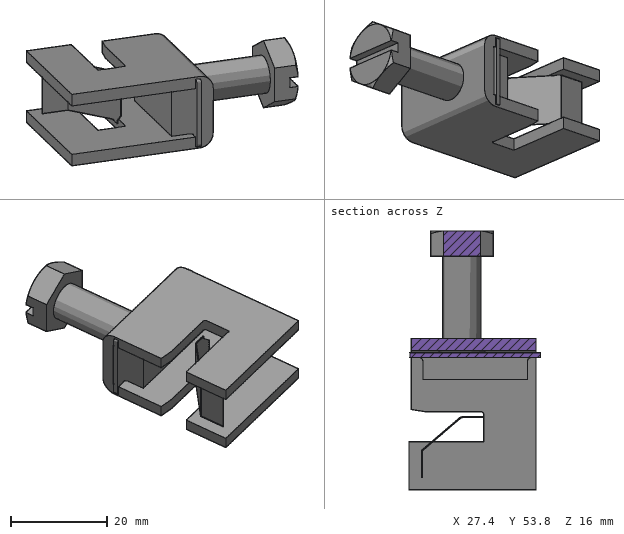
import cadquery as cq
import math

TOTAL_LENGTH = 53.8

BRACKET_HEIGHT = 16.0
SHEET = 2.6
BRACKET_TOP = 31.45
BRACKET_LEFT = -10.55
BRACKET_RIGHT = 15.45
JAW_LEFT = -11.05
BEND_RADIUS = 3.0
INNER_HEIGHT = BRACKET_HEIGHT - 2 * SHEET
INNER_TOP = BRACKET_TOP - SHEET

MOUTH_BOTTOM = 10.0
MOUTH_TOP = 16.2
MOUTH_END = 4.5
MOUTH_RADIUS = 0.55
LEAD_IN_LENGTH = 3.05
LEAD_IN_RISE = 0.5

SHANK_DIAMETER = 8.0
COLLAR_DIAMETER = 9.5
HEAD_FLATS = 13.0
HEAD_CORNERS = HEAD_FLATS / math.cos(math.radians(30))
HEAD_HEIGHT = 5.25
HEAD_BASE = TOTAL_LENGTH - HEAD_HEIGHT
HEAD_CHAMFER_ANGLE = 30.0
SLOT_WIDTH = 2.15
SLOT_DEPTH = 1.9

PLATE_TOP = 28.5
PLATE_THICKNESS = 1.0
PLATE_BOTTOM = PLATE_TOP - PLATE_THICKNESS
PLATE_LEFT = -10.85
PLATE_RIGHT = 16.35
FLANGE_HEIGHT = 14.95
FLANGE_RADIUS = 0.65
PAD_INSET = 2.75
PAD_LEFT = PLATE_LEFT + PAD_INSET
PAD_RIGHT = PLATE_RIGHT - PAD_INSET
PAD_HEIGHT = 10.55
PAD_BOTTOM = 22.9
PAD_FILLET = 0.8

SPRING_SHEET = 0.2
SPRING_LEFT = -8.4
SPRING_BOTTOM = 2.55
SPRING_LOWER_BEND = 8.25
SPRING_UPPER_BEND = -0.2
SPRING_TOP = 15.2
SPRING_BEND_RADIUS = 1.4
TONGUE_START = 2.6
TONGUE_END = 4.55
TONGUE_ROOT_WIDTH = 9.45
TONGUE_TIP_WIDTH = 5.7


def block(x0, x1, y0, y1, height):
    """Box between the given X and Y limits, centred on Z = 0."""
    return cq.Workplane("XY").box(x1 - x0, y1 - y0, height).translate(((x0 + x1) / 2, (y0 + y1) / 2, 0))


def cylinder(diameter, y0, y1):
    """Cylinder along the screw axis."""
    return cq.Workplane("XZ", origin=(0, y0, 0)).circle(diameter / 2).extrude(y0 - y1)


def make_bracket():
    body = block(JAW_LEFT, BRACKET_RIGHT, 0, BRACKET_TOP, BRACKET_HEIGHT)
    body = body.edges("|X and >Y").fillet(BEND_RADIUS)
    body = body.cut(block(JAW_LEFT, BRACKET_RIGHT, 0, INNER_TOP, INNER_HEIGHT))
    mouth = (
        cq.Workplane("XY", origin=(0, 0, -BRACKET_HEIGHT / 2))
        .moveTo(JAW_LEFT, MOUTH_BOTTOM)
        .lineTo(MOUTH_END, MOUTH_BOTTOM)
        .lineTo(MOUTH_END, MOUTH_TOP - MOUTH_RADIUS)
        .radiusArc((MOUTH_END - MOUTH_RADIUS, MOUTH_TOP), -MOUTH_RADIUS)
        .lineTo(BRACKET_LEFT + LEAD_IN_LENGTH, MOUTH_TOP)
        .lineTo(BRACKET_LEFT, MOUTH_TOP + LEAD_IN_RISE)
        .lineTo(BRACKET_LEFT, BRACKET_TOP)
        .lineTo(JAW_LEFT, BRACKET_TOP)
        .close()
        .extrude(BRACKET_HEIGHT)
    )
    return body.cut(mouth)


def make_screw():
    head = (
        cq.Workplane("XZ", origin=(0, HEAD_BASE, 0))
        .polygon(6, HEAD_CORNERS)
        .extrude(-HEAD_HEIGHT)
        .rotate((0, 0, 0), (0, 1, 0), 30)
    )
    flat_radius = HEAD_FLATS / 2
    corner_radius = HEAD_CORNERS / 2
    corner_drop = (corner_radius - flat_radius) * math.tan(math.radians(HEAD_CHAMFER_ANGLE))
    envelope = (
        cq.Workplane("XY")
        .moveTo(0, HEAD_BASE)
        .lineTo(corner_radius, HEAD_BASE)
        .lineTo(corner_radius, TOTAL_LENGTH - corner_drop)
        .lineTo(flat_radius, TOTAL_LENGTH)
        .lineTo(0, TOTAL_LENGTH)
        .close()
        .revolve(360, (0, 0, 0), (0, 1, 0))
    )
    slot = block(-corner_radius, corner_radius, TOTAL_LENGTH - SLOT_DEPTH, TOTAL_LENGTH, SLOT_WIDTH)
    head = head.intersect(envelope).cut(slot)
    shank = cylinder(SHANK_DIAMETER, INNER_TOP, HEAD_BASE)
    collar = cylinder(COLLAR_DIAMETER, PLATE_TOP, INNER_TOP)
    return head.union(shank).union(collar)


def make_pressure_plate():
    plate = block(PLATE_LEFT, PLATE_RIGHT, PLATE_BOTTOM, PLATE_TOP, INNER_HEIGHT)
    for x0, x1 in ((PLATE_LEFT, BRACKET_LEFT), (BRACKET_RIGHT, PLATE_RIGHT)):
        flange = block(x0, x1, PLATE_BOTTOM, PLATE_TOP, FLANGE_HEIGHT)
        outer_edges = "|Y and <X" if x0 == PLATE_LEFT else "|Y and >X"
        radius = min(FLANGE_RADIUS, 0.9 * (x1 - x0))
        plate = plate.union(flange.edges(outer_edges).fillet(radius))
    pad = (
        cq.Workplane("XY", origin=(0, 0, -PAD_HEIGHT / 2))
        .moveTo(PAD_LEFT, PAD_BOTTOM)
        .lineTo(PAD_RIGHT, PAD_BOTTOM)
        .lineTo(PAD_RIGHT, PLATE_BOTTOM - PAD_FILLET)
        .radiusArc((PAD_RIGHT + PAD_FILLET, PLATE_BOTTOM), PAD_FILLET)
        .lineTo(PAD_LEFT - PAD_FILLET, PLATE_BOTTOM)
        .radiusArc((PAD_LEFT, PLATE_BOTTOM - PAD_FILLET), PAD_FILLET)
        .close()
        .extrude(PAD_HEIGHT)
    )
    return plate.union(pad)


def make_spring():
    slope = math.atan2(SPRING_TOP - SPRING_LOWER_BEND, SPRING_UPPER_BEND - SPRING_LEFT)
    lower_shift = SPRING_SHEET * math.tan((math.pi / 2 - slope) / 2)
    upper_shift = SPRING_SHEET * math.tan(slope / 2)
    spring = (
        cq.Workplane("XY", origin=(0, 0, -INNER_HEIGHT / 2))
        .moveTo(SPRING_LEFT, SPRING_BOTTOM)
        .lineTo(SPRING_LEFT, SPRING_LOWER_BEND)
        .lineTo(SPRING_UPPER_BEND, SPRING_TOP)
        .lineTo(TONGUE_END, SPRING_TOP)
        .lineTo(TONGUE_END, SPRING_TOP - SPRING_SHEET)
        .lineTo(SPRING_UPPER_BEND + upper_shift, SPRING_TOP - SPRING_SHEET)
        .lineTo(SPRING_LEFT + SPRING_SHEET, SPRING_LOWER_BEND - lower_shift)
        .lineTo(SPRING_LEFT + SPRING_SHEET, SPRING_BOTTOM)
        .close()
        .extrude(INNER_HEIGHT)
    )
    outer_bend = cq.selectors.NearestToPointSelector((SPRING_UPPER_BEND, SPRING_TOP, 0))
    inner_bend = cq.selectors.NearestToPointSelector(
        (SPRING_UPPER_BEND + upper_shift, SPRING_TOP - SPRING_SHEET, 0)
    )
    spring = spring.edges(outer_bend).fillet(SPRING_BEND_RADIUS)
    spring = spring.edges(inner_bend).fillet(SPRING_BEND_RADIUS - SPRING_SHEET)
    for side in (-1, 1):
        corner = (
            cq.Workplane("XZ", origin=(0, SPRING_TOP, 0))
            .moveTo(TONGUE_START, side * INNER_HEIGHT / 2)
            .lineTo(TONGUE_START, side * TONGUE_ROOT_WIDTH / 2)
            .lineTo(TONGUE_END, side * TONGUE_TIP_WIDTH / 2)
            .lineTo(TONGUE_END, side * INNER_HEIGHT / 2)
            .close()
            .extrude(SPRING_SHEET)
        )
        spring = spring.cut(corner)
    return spring


result = make_bracket().union(make_screw()).union(make_pressure_plate()).union(make_spring())